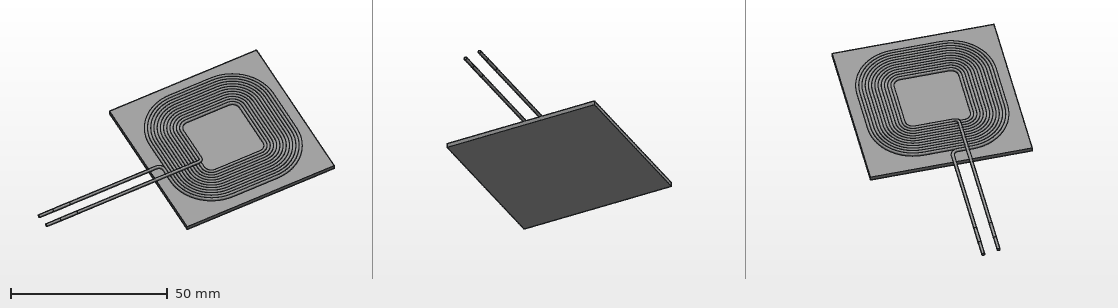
import cadquery as cq
import math

plate_side = 53.0
plate_thickness = 1.5

turns = 12
turn_pitch = 1.0
turn_gap = 0.02
wire_diameter = turn_pitch - turn_gap
straight_half = 8.0
inner_bend_radius = 3.1
outer_bend_radius = inner_bend_radius + (turns - 1) * turn_pitch

right_corner_y = -straight_half
left_corner_y = right_corner_y + turn_pitch

overall_length = 92.95
lead_end_y = plate_side / 2 - overall_length
lead_bend_radius = 1.95
inner_lead_x = 6.0
outer_lead_x = 1.0

sleeve_wall = 0.03
sleeve_diameter = wire_diameter + 2 * sleeve_wall
sleeve_length = 6.0
bare_end_length = 5.0

coil_z = plate_thickness + wire_diameter / 2
inner_lead_z = coil_z + wire_diameter

quarter_circle_reach = 4 / 3 * (math.sqrt(2) - 1)


def make_plate():
    return cq.Workplane("XY").box(plate_side, plate_side, plate_thickness, centered=(True, True, False))


def quarter_bend(center_x, center_y, radius, start_degrees, turn_direction):
    """Level quarter circle at coil height; turn_direction is 1 for anticlockwise, -1 for clockwise."""
    points = []
    for turned_degrees in (0, 45, 90):
        angle = math.radians(start_degrees + turn_direction * turned_degrees)
        x = center_x + radius * math.cos(angle)
        y = center_y + radius * math.sin(angle)
        points.append(cq.Vector(x, y, coil_z))
    return cq.Edge.makeThreePointArc(*points)


def corner_bends():
    """The four corners of every turn, clockwise from the lower left, innermost turn first."""
    bends = []
    for turn in range(turns):
        radius = inner_bend_radius + turn * turn_pitch
        bends.append(quarter_bend(-straight_half, left_corner_y, radius, 270, -1))
        bends.append(quarter_bend(-straight_half, straight_half, radius, 180, -1))
        bends.append(quarter_bend(straight_half, straight_half, radius, 90, -1))
        bends.append(quarter_bend(straight_half, right_corner_y, radius, 0, -1))
    return bends


def inner_lead_bend():
    """Quarter bend from the raised inner lead down to the innermost turn, level at both ends."""
    coil_x = inner_lead_x - lead_bend_radius
    coil_y = left_corner_y - inner_bend_radius
    lead_y = coil_y - lead_bend_radius
    reach = lead_bend_radius * quarter_circle_reach
    return cq.Edge.makeBezier([
        cq.Vector(inner_lead_x, lead_y, inner_lead_z),
        cq.Vector(inner_lead_x, lead_y + reach, inner_lead_z),
        cq.Vector(coil_x + reach, coil_y, coil_z),
        cq.Vector(coil_x, coil_y, coil_z),
    ])


def outer_lead_bend():
    """Level quarter bend from the outermost turn to the outer lead."""
    center_x = outer_lead_x + lead_bend_radius
    center_y = right_corner_y - outer_bend_radius - lead_bend_radius
    return quarter_bend(center_x, center_y, lead_bend_radius, 90, 1)


def wire_path():
    """Wire centreline from the end of the inner lead, through the coil, to the end of the outer lead."""
    bends = [inner_lead_bend(), *corner_bends(), outer_lead_bend()]
    path = []
    straight_start = cq.Vector(inner_lead_x, lead_end_y, inner_lead_z)
    for bend in bends:
        path.append(cq.Edge.makeLine(straight_start, bend.startPoint()))
        path.append(bend)
        straight_start = bend.endPoint()
    path.append(cq.Edge.makeLine(straight_start, cq.Vector(outer_lead_x, lead_end_y, coil_z)))
    return cq.Wire.assembleEdges(path)


def make_sleeve(lead_x, lead_z):
    base = cq.Vector(lead_x, lead_end_y + bare_end_length, lead_z)
    return cq.Solid.makeCylinder(sleeve_diameter / 2, sleeve_length, base, cq.Vector(0, 1, 0))


def make_coil():
    """The wire with the sleeves on its two leads, as one solid."""
    path = wire_path()
    section = cq.Wire.makeCircle(wire_diameter / 2, path.startPoint(), cq.Vector(0, 1, 0))
    wire = cq.Solid.sweep(section, [], path, isFrenet=True)
    sleeves = [make_sleeve(inner_lead_x, inner_lead_z), make_sleeve(outer_lead_x, coil_z)]
    return cq.Workplane(wire.fuse(*sleeves).Solids()[0])


plate = make_plate()
coil = make_coil()
result = cq.Compound.makeCompound([plate.val(), coil.val()])